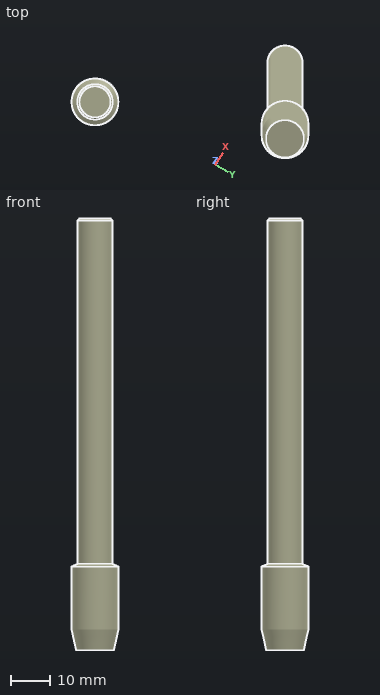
import cadquery as cq

total_height = 110.0

holder_diameter = 12.0
holder_foot_diameter = 9.7
holder_height = 22.0
foot_taper_height = 5.3
shoulder_height = 0.7

rod_diameter = 9.0
rod_chamfer = 0.5
rod_length = total_height - holder_height


def make_holder():
    """Turned base with a tapered foot and a shallow conical shoulder that ends at the rod."""
    holder_radius = holder_diameter / 2
    profile = (
        cq.Workplane("XZ")
        .moveTo(0, 0)
        .lineTo(holder_foot_diameter / 2, 0)
        .lineTo(holder_radius, foot_taper_height)
        .lineTo(holder_radius, holder_height - shoulder_height)
        .lineTo(rod_diameter / 2, holder_height)
        .lineTo(0, holder_height)
        .close()
    )
    return profile.revolve(360, (0, 0, 0), (0, 1, 0))


def make_rod():
    """Round bar resting on the holder's flat top, chamfered at its free end."""
    bar = cq.Workplane("XY").workplane(offset=holder_height).circle(rod_diameter / 2).extrude(rod_length)
    return bar.faces(">Z").edges().chamfer(rod_chamfer)


holder = make_holder()
rod = make_rod()

result = cq.Compound.makeCompound([holder.val(), rod.val()])